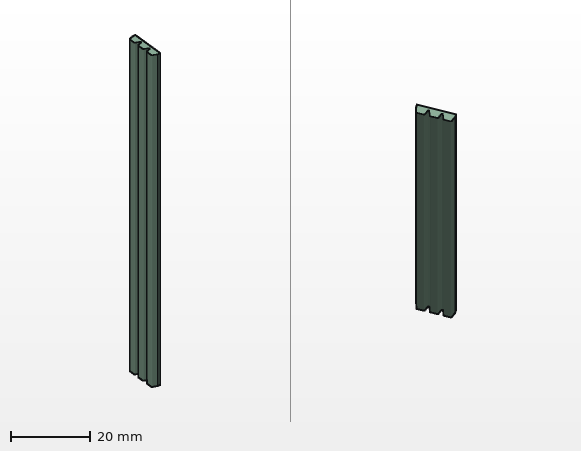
import cadquery as cq
import math

length = 101.6
width = 10.3
thickness = 2.3
rib_count = 3
rib_pitch = 3.6
groove_depth = 1.5
flank_angle = 20.0
root_radius = 0.2
tip_radius = 0.3
side_flank_height = groove_depth

slope = math.tan(math.radians(flank_angle))
back_y = thickness / 2
tip_y = -thickness / 2
groove_centers = [(i - (rib_count - 2) / 2) * rib_pitch for i in range(rib_count - 1)]

root_center_y = tip_y + groove_depth - root_radius
root_half_width = root_radius * math.cos(math.radians(flank_angle))
root_edge_y = root_center_y + root_radius * math.sin(math.radians(flank_angle))
mouth_half_width = root_half_width + (root_edge_y - tip_y) * slope


def belt_body():
    """Flat-backed strip whose outer sides slope in towards the rib tips."""
    half_width = width / 2
    tip_half_width = half_width - side_flank_height * slope
    return (
        cq.Workplane("XY")
        .moveTo(-half_width, back_y)
        .lineTo(half_width, back_y)
        .lineTo(half_width, tip_y + side_flank_height)
        .lineTo(tip_half_width, tip_y)
        .lineTo(-tip_half_width, tip_y)
        .lineTo(-half_width, tip_y + side_flank_height)
        .close()
        .extrude(length / 2, both=True)
    )


def groove(center_x):
    """V-groove with a rounded root, cut along the whole strip."""
    return (
        cq.Workplane("XY")
        .moveTo(center_x - mouth_half_width, tip_y)
        .lineTo(center_x - root_half_width, root_edge_y)
        .threePointArc(
            (center_x, tip_y + groove_depth),
            (center_x + root_half_width, root_edge_y),
        )
        .lineTo(center_x + mouth_half_width, tip_y)
        .close()
        .extrude(length / 2, both=True)
    )


belt = belt_body()
for groove_x in groove_centers:
    belt = belt.cut(groove(groove_x))

result = belt.faces("<Y").edges("|Z").fillet(tip_radius)